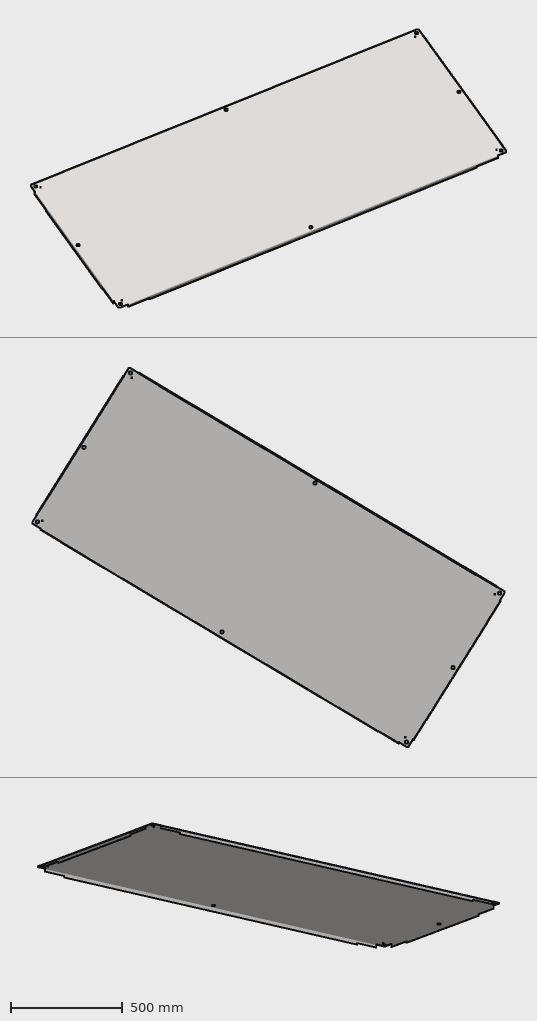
import cadquery as cq

width = 843.0
length = 1980.0
height = 22.0

sheet = 2.4
bend_radius = 5.0
corner_radius = 5.0
corner_inset = 3.0

skirt_end_gap = 50.0
skirt_step_gap = 158.0
end_depth = 14.8

hole_diameter = 14.0
hole_inset = 22.0
pin_diameter = 4.0
pin_inset = 38.0


def top_sheet():
    """Flat panel with rounded corners, its top face at Z = 0."""
    panel = cq.Workplane("XY").rect(width - 2 * corner_inset, length - 2 * corner_inset).extrude(-sheet)
    return panel.edges("|Z").fillet(corner_radius)


def skirt_blank(side_length, span):
    """Region below a side that its skirt fills: full depth, shallower at both ends."""
    half_end = side_length / 2 - skirt_end_gap
    half_deep = side_length / 2 - skirt_step_gap
    return (
        cq.Workplane("XZ")
        .moveTo(-half_end, 0)
        .lineTo(half_end, 0)
        .lineTo(half_end, -end_depth)
        .lineTo(half_deep, -end_depth)
        .lineTo(half_deep, -height)
        .lineTo(-half_deep, -height)
        .lineTo(-half_deep, -end_depth)
        .lineTo(-half_end, -end_depth)
        .close()
        .extrude(span / 2, both=True)
    )


def folded_channel(side_length, span):
    """Sheet along X, folded down at Y = +-span / 2, with stepped skirts."""
    outer = (
        cq.Workplane("XY")
        .box(side_length, span, height, centered=(True, True, False))
        .translate((0, 0, -height))
        .edges("|X and >Z")
        .fillet(bend_radius)
    )
    inner = (
        cq.Workplane("XY")
        .box(side_length, span - 2 * sheet, height, centered=(True, True, False))
        .translate((0, 0, -height - sheet))
        .edges("|X and >Z")
        .fillet(bend_radius - sheet)
    )
    return outer.cut(inner).intersect(skirt_blank(side_length, span))


def bend_clearance(side_length, span):
    """Strips of square sheet edge to be replaced by the bends along X."""
    run = side_length - 2 * skirt_end_gap
    return (
        cq.Workplane("XY")
        .pushPoints([(0, span / 2), (0, -span / 2)])
        .rect(run, 2 * bend_radius)
        .extrude(-sheet)
    )


def quarter_turn(body):
    return body.rotate((0, 0, 0), (0, 0, 1), 90)


def fixing_holes():
    """Cutters at the four corners and the middle of each side."""
    hole_x = width / 2 - hole_inset
    hole_y = length / 2 - hole_inset
    columns = (-hole_x, 0, hole_x)
    rows = (-hole_y, 0, hole_y)
    centres = [(x, y) for x in columns for y in rows if (x, y) != (0, 0)]
    return cq.Workplane("XY").pushPoints(centres).circle(hole_diameter / 2).extrude(-sheet)


def pin_holes():
    """Small cutters just inside the corner fixing holes."""
    return (
        cq.Workplane("XY")
        .rect(width - 2 * pin_inset, length - 2 * pin_inset, forConstruction=True)
        .vertices()
        .circle(pin_diameter / 2)
        .extrude(-sheet)
    )


result = (
    top_sheet()
    .cut(bend_clearance(width, length))
    .cut(quarter_turn(bend_clearance(length, width)))
    .union(folded_channel(width, length))
    .union(quarter_turn(folded_channel(length, width)))
    .cut(fixing_holes())
    .cut(pin_holes())
)